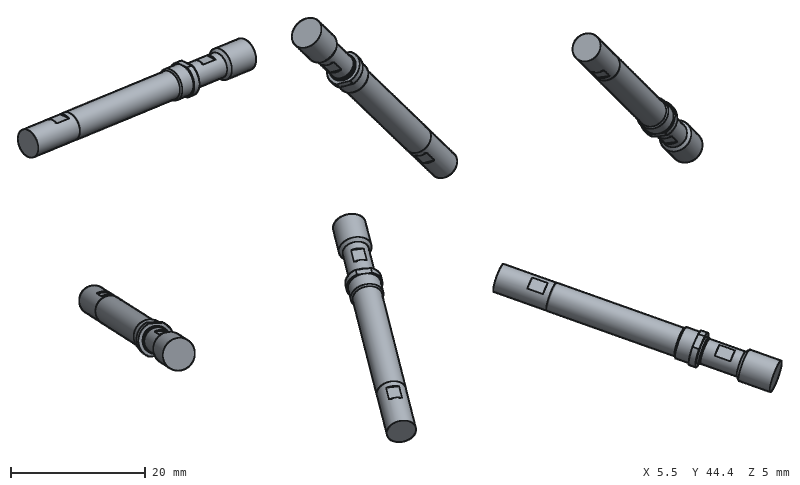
import cadquery as cq


total_length = 44.4
tip_length = 8.5
head_length = 5.0
collar_front = 31.5
collar_width = 1.05
sleeve_rim_length = 0.13
sleeve_length = 0.45
shoulder_length = 2.25

head_diameter = 5.0
neck_diameter = 4.0
sleeve_rim_diameter = 4.04
sleeve_diameter = 4.25
collar_diameter = 5.5
shoulder_diameter = 5.0
barrel_diameter = 4.5
tip_diameter = 4.46

barrel_chamfer_length = 0.12
barrel_chamfer_depth = 0.01

collar_across_flats = 5.0
flat_length = 2.5
flat_depth = 0.25
tip_flat_start = 5.0
neck_flat_to_head = 1.9

head_radius = head_diameter / 2
neck_radius = neck_diameter / 2
collar_radius = collar_diameter / 2
shoulder_radius = shoulder_diameter / 2
barrel_radius = barrel_diameter / 2
tip_radius = tip_diameter / 2
sleeve_rim_radius = sleeve_rim_diameter / 2
sleeve_radius = sleeve_diameter / 2

collar_back = collar_front + collar_width
shoulder_front = collar_front - shoulder_length
shoulder_chamfer = shoulder_radius - barrel_radius
sleeve_back = collar_back + sleeve_length
sleeve_rim_back = sleeve_back + sleeve_rim_length
sleeve_chamfer = sleeve_radius - sleeve_rim_radius
head_front = total_length - head_length
head_cone_front = head_front - (head_radius - neck_radius)
neck_flat_start = head_front - neck_flat_to_head - flat_length


def turned_body():
    """Revolve the half outline (radius, y) about the Y axis."""
    outline = [
        (0, 0),
        (tip_radius, 0),
        (tip_radius, tip_length),
        (barrel_radius - barrel_chamfer_depth, tip_length),
        (barrel_radius, tip_length + barrel_chamfer_length),
        (barrel_radius, shoulder_front - shoulder_chamfer),
        (shoulder_radius, shoulder_front),
        (shoulder_radius, collar_front),
        (collar_radius, collar_front),
        (collar_radius, collar_back),
        (sleeve_radius, collar_back),
        (sleeve_radius, sleeve_back - sleeve_chamfer),
        (sleeve_rim_radius, sleeve_back),
        (sleeve_rim_radius, sleeve_rim_back),
        (neck_radius, sleeve_rim_back),
        (neck_radius, head_cone_front),
        (head_radius, head_front),
        (head_radius, total_length),
        (0, total_length),
    ]
    return cq.Workplane("XY").polyline(outline).close().revolve(360, (0, 0, 0), (0, 1, 0))


def cut_flats(body, start, length, across_flats):
    """Cut a pair of flats facing +Z and -Z into one stretch of the body."""
    middle = start + length / 2
    slab_height = collar_diameter
    slab_width = 2 * collar_diameter
    for side in (1, -1):
        slab = cq.Workplane("XY").box(slab_width, length, slab_height)
        offset = side * (across_flats + slab_height) / 2
        body = body.cut(slab.translate((0, middle, offset)))
    return body


result = turned_body()
result = cut_flats(result, collar_front, collar_width, collar_across_flats)
result = cut_flats(result, tip_flat_start, flat_length, barrel_diameter - 2 * flat_depth)
result = cut_flats(result, neck_flat_start, flat_length, neck_diameter - 2 * flat_depth)